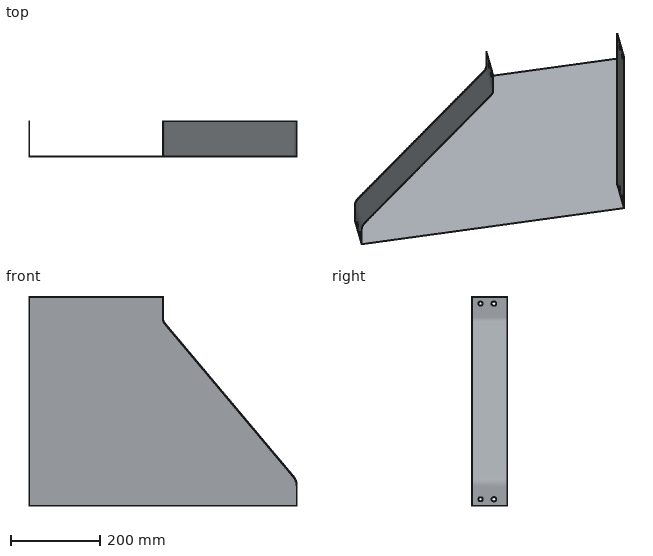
import cadquery as cq

width = 600
depth = 80.0
height = 468
sheet = 1.0

top_width = width / 2
lower_straight_end = 57.0
upper_straight_end = 54
upper_bend_radius = 21.0
lower_bend_radius = 33.0

hole_diameter = 9.0
slot_length = 10.0
hole_edge_distance = 15.0
hole_from_face = 20.0
slot_from_face = 50.0


def make_outer_block():
    """Solid envelope with the two bends rounded on the stepped side."""
    outline = [
        (0, 0),
        (width, 0),
        (width, lower_straight_end),
        (top_width, height - upper_straight_end),
        (top_width, height),
        (0, height),
    ]
    block = cq.Workplane("XZ").polyline(outline).close().extrude(-depth)
    lower_bend = cq.selectors.NearestToPointSelector((width, depth / 2, lower_straight_end))
    upper_bend = cq.selectors.NearestToPointSelector((top_width, depth / 2, height - upper_straight_end))
    block = block.edges(lower_bend).fillet(lower_bend_radius)
    return block.edges(upper_bend).fillet(upper_bend_radius)


def make_shell(block):
    """Keep the front panel and both side flanges; open the back, top and bottom."""
    return block.faces(">Y or >Z or <Z").shell(-sheet)


def make_hole_cutter(z):
    """Round hole and slot passing through both flanges at one height."""
    round_hole = (
        cq.Workplane("YZ")
        .center(hole_from_face, z)
        .circle(hole_diameter / 2)
        .extrude(width)
    )
    slot = (
        cq.Workplane("YZ")
        .center(slot_from_face, z)
        .slot2D(slot_length, hole_diameter)
        .extrude(width)
    )
    return round_hole.union(slot)


result = make_shell(make_outer_block())
for hole_height in (hole_edge_distance, height - hole_edge_distance):
    result = result.cut(make_hole_cutter(hole_height))